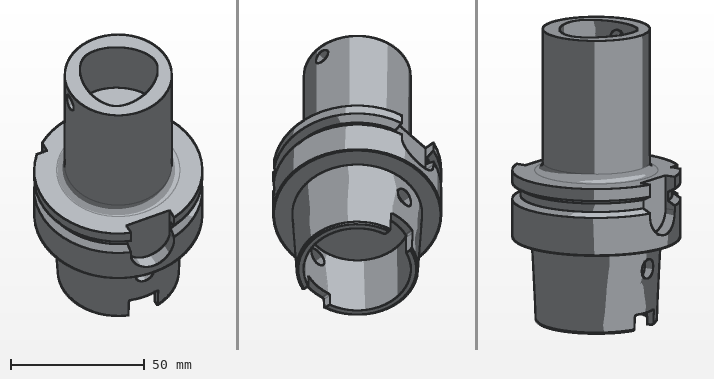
import cadquery as cq
import math

total_height = 112.0
flange_bottom = 32.0
flange_top = 57.8

shank_radius = 20.0
neck_fillet = 3.0
flange_radius = 31.5
flange_chamfer = 0.3
groove_radius = 28.5
groove_upper_edge = 53.2
groove_upper_floor = 51.5
groove_lower_floor = 48.3
groove_lower_edge = 46.7
cone_top_radius = 24.3
cone_bottom_radius = 22.7
cone_chamfer = 0.7

bore_radius = 20.0
bore_depth = 29.1

slot_floor_x = 26.2
slot_end_center_z = 45.0
slot_width = 15.8
wide_slot_width = 17.8
notch_corner = 20.0

keyway_width = 12.1
keyway_depth = 6.2
deep_keyway_depth = 9.7
keyway_fillet = 0.8

taper_hole_radius = 3.7
taper_hole_z = 23.1
shank_hole_radius = 3.0
shank_hole_z = 106.0

socket_mean_radius = 14.6
socket_lobe = 0.9
socket_depth = 22.4
socket_taper = 0.6
socket_points = 36


def revolved_body():
    """Shank, grooved flange and hollow taper as one turned profile."""
    return (
        cq.Workplane("XZ")
        .moveTo(0, 0)
        .lineTo(cone_bottom_radius - cone_chamfer, 0)
        .lineTo(cone_bottom_radius, cone_chamfer)
        .lineTo(cone_top_radius, flange_bottom)
        .lineTo(flange_radius - flange_chamfer, flange_bottom)
        .lineTo(flange_radius, flange_bottom + flange_chamfer)
        .lineTo(flange_radius, groove_lower_edge)
        .lineTo(groove_radius, groove_lower_floor)
        .lineTo(groove_radius, groove_upper_floor)
        .lineTo(flange_radius, groove_upper_edge)
        .lineTo(flange_radius, flange_top)
        .lineTo(shank_radius + neck_fillet, flange_top)
        .radiusArc((shank_radius, flange_top + neck_fillet), neck_fillet)
        .lineTo(shank_radius, total_height)
        .lineTo(0, total_height)
        .close()
        .revolve(360, (0, 0, 0), (0, 1, 0))
    )


def flange_slot(start_x, direction, center_y, width):
    """Round-bottomed slot, open upwards, running outwards from start_x."""
    radius = width / 2
    height = flange_top - slot_end_center_z
    return (
        cq.Workplane("YZ", origin=(start_x, center_y, slot_end_center_z))
        .moveTo(-radius, height)
        .lineTo(-radius, 0)
        .threePointArc((0, -radius), (radius, 0))
        .lineTo(radius, height)
        .close()
        .extrude(direction * flange_radius)
    )


def keyway(direction, depth):
    """Keyway through one wall of the taper, with rounded inner corners."""
    return (
        cq.Workplane("XY")
        .box(flange_radius, keyway_width, depth, centered=(False, True, False))
        .edges("|X and >Z")
        .fillet(keyway_fillet)
        .rotate((0, 0, 0), (0, 0, 1), 0 if direction > 0 else 180)
    )


def lobed_point(angle, mean_radius):
    """Point on a constant-width three-lobed curve with one lobe towards +Y."""
    reach = mean_radius - socket_lobe * math.sin(3 * angle)
    slope = -3 * socket_lobe * math.cos(3 * angle)
    return (
        reach * math.cos(angle) - slope * math.sin(angle),
        reach * math.sin(angle) + slope * math.cos(angle),
    )


def lobed_outline(mean_radius):
    step = 2 * math.pi / socket_points
    return [lobed_point(i * step, mean_radius) for i in range(socket_points)]


def socket():
    """Tapered socket, narrowing downwards from the shank's top face."""
    return (
        cq.Workplane("XY", origin=(0, 0, total_height))
        .spline(lobed_outline(socket_mean_radius), periodic=True)
        .close()
        .workplane(offset=-socket_depth)
        .spline(lobed_outline(socket_mean_radius - socket_taper), periodic=True)
        .close()
        .loft(ruled=True)
    )


result = revolved_body()

result = result.cut(socket())
result = result.cut(cq.Workplane("XY").circle(bore_radius).extrude(bore_depth))

result = result.cut(flange_slot(-slot_floor_x, -1, 0, slot_width))
result = result.cut(flange_slot(slot_floor_x, 1, 0, wide_slot_width))
notch_center_y = -notch_corner - slot_width / 2
result = result.cut(flange_slot(-notch_corner, -1, notch_center_y, slot_width))

result = result.cut(keyway(-1, keyway_depth))
result = result.cut(keyway(1, deep_keyway_depth))

taper_hole = (
    cq.Workplane("YZ", origin=(0, 0, taper_hole_z))
    .circle(taper_hole_radius)
    .extrude(flange_radius, both=True)
)
shank_hole = (
    cq.Workplane("XZ", origin=(0, 0, shank_hole_z))
    .circle(shank_hole_radius)
    .extrude(flange_radius)
)
result = result.cut(taper_hole).cut(shank_hole)